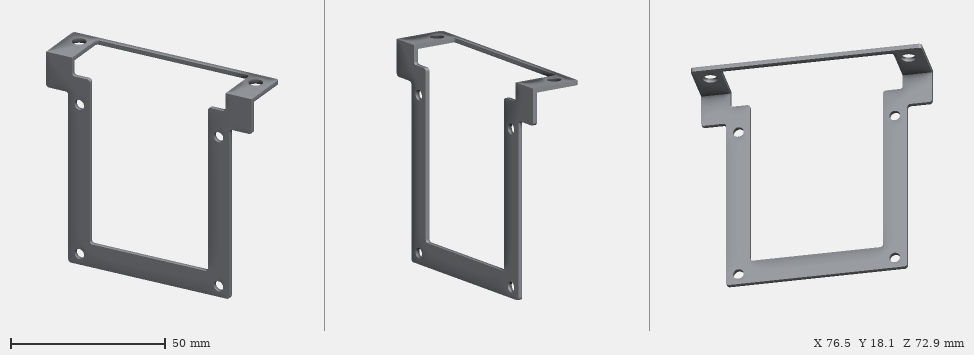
import cadquery as cq

width = 76.45
depth = 18.05
height = 72.9
thickness = 1.5
corner_radius = 1.0

ear_height = 12.5
body_width = 60.0
window_width = 43.95
bottom_rail = 8.2
opening_width = 57.0
opening_drop = 6.5

back_rail = 2.0

frame_hole_diameter = 3.5
frame_hole_spacing = 51.75
upper_hole_drop = 16.2
lower_hole_rise = 3.75
flange_hole_diameter = 4.8
flange_hole_spacing = 65.7
flange_hole_inset = 5.8

ear_bottom = height - ear_height
opening_bottom = height - opening_drop


def box(size_x, y_min, y_max, z_min, z_max):
    """Block centred on X between the given Y and Z limits."""
    return (
        cq.Workplane("XY")
        .box(size_x, y_max - y_min, z_max - z_min, centered=(True, False, False))
        .translate((0, y_min, z_min))
    )


def make_frame():
    """Upright plate with its window, all free corners rounded."""
    body = box(body_width, 0, thickness, 0, height)
    ears = box(width, 0, thickness, ear_bottom, height)
    window = box(window_width, 0, thickness, bottom_rail, height)
    opening = box(opening_width, 0, thickness, opening_bottom, height)
    plate = body.union(ears).cut(window).cut(opening)
    below_bend = cq.selectors.BoxSelector(
        (-width, -depth, -height), (width, depth, height - thickness)
    )
    return plate.edges("|Y").edges(below_bend).fillet(corner_radius)


def make_flange():
    """Horizontal plate with an opening that runs out through the bend."""
    plate = box(width, 0, depth, height - thickness, height)
    plate = plate.edges("|Z and >Y").fillet(corner_radius)
    opening = box(opening_width, -depth, depth - back_rail, height - thickness, height)
    opening = opening.edges("|Z and >Y").fillet(corner_radius)
    return plate.cut(opening)


def frame_holes():
    """Four holes through the upright frame."""
    x = frame_hole_spacing / 2
    levels = (lower_hole_rise, height - upper_hole_drop)
    points = [(side * x, z) for side in (-1, 1) for z in levels]
    return (
        cq.Workplane("XZ")
        .pushPoints(points)
        .circle(frame_hole_diameter / 2)
        .extrude(-thickness)
    )


def flange_holes():
    """Two holes through the top flange."""
    x = flange_hole_spacing / 2
    y = depth - flange_hole_inset
    return (
        cq.Workplane("XY", origin=(0, 0, height - thickness))
        .pushPoints([(-x, y), (x, y)])
        .circle(flange_hole_diameter / 2)
        .extrude(thickness)
    )


result = make_frame().union(make_flange()).cut(frame_holes()).cut(flange_holes())